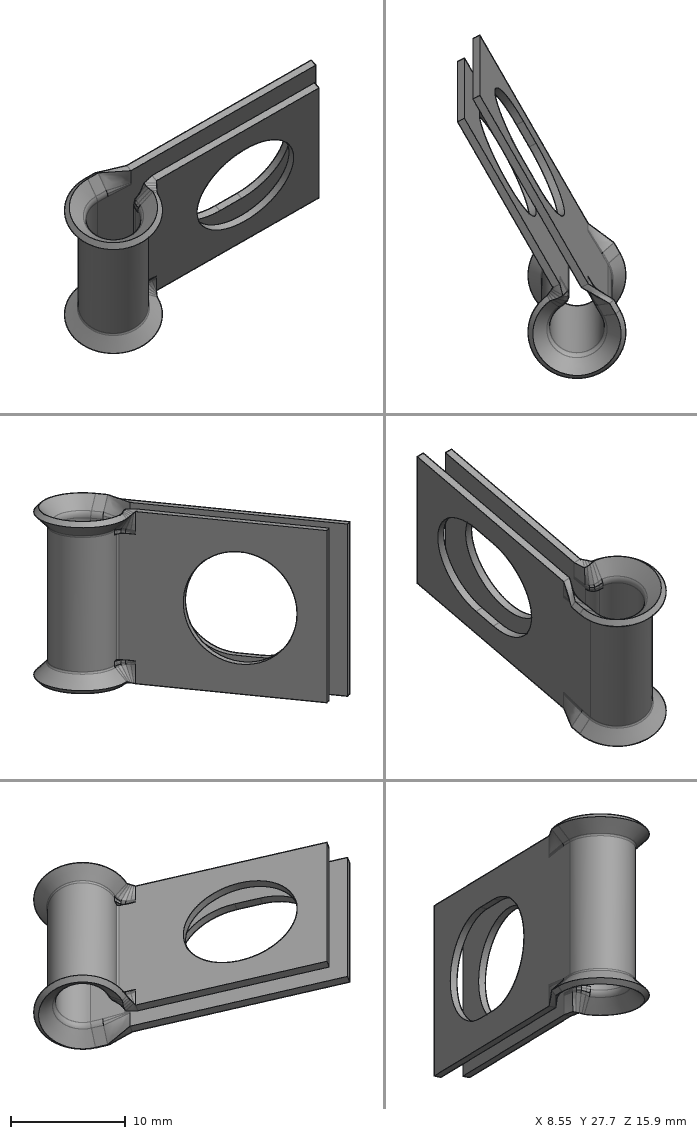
import cadquery as cq
import math

sheet = 0.7
inner_radius = 2.38
outer_radius = inner_radius + sheet
half_height = 7.95

lip_start = 5.85
lip_diameter = 8.55
lip_radius = lip_diameter / 2
lip_sheet = 0.6
lip_outer_bend = 0.28
lip_inner_bend = 0.83
lip_end_angle = 81.0

overall_length = 27.67
plate_end_step = 1.22
long_plate_end = overall_length - lip_radius
short_plate_end = long_plate_end - plate_end_step
neck_bend = 0.89
neck_y = outer_radius + neck_bend - sheet
neck_centre = (0, neck_y)
short_plate_x = -neck_bend
long_lip_straight_end = 1.1
long_lip_end = 3.6
short_lip_end = 4.75

hole_y = 14.28
hole_diameter = 10.35
slot_length = 12.67

slope = math.sqrt(0.5)
lip_tip_z = half_height - lip_sheet * slope
lip_top_radius = lip_radius - lip_sheet * slope
outer_corner_z = lip_tip_z - (lip_radius - outer_radius)
inner_corner_z = half_height - (lip_top_radius - inner_radius)


def bend_points(radius, corner_z, bend):
    """Start, middle and end (radius, z) of the bend from the barrel wall to the lip cone."""
    half_turn = math.radians(45 / 2)
    tangent = bend * math.tan(half_turn)
    start = (radius, corner_z - tangent)
    middle = (radius + bend * (1 - math.cos(half_turn)), start[1] + bend * math.sin(half_turn))
    end = (radius + tangent * slope, corner_z + tangent * slope)
    return start, middle, end


outer_bend = bend_points(outer_radius, outer_corner_z, lip_outer_bend)
inner_bend = bend_points(inner_radius, inner_corner_z, lip_inner_bend)


def wall_profile():
    """Section of the upper half of the barrel wall and lip in the XZ plane, on the +X side."""
    return (
        cq.Workplane("XZ")
        .moveTo(inner_radius, 0)
        .lineTo(outer_radius, 0)
        .lineTo(*outer_bend[0])
        .threePointArc(outer_bend[1], outer_bend[2])
        .lineTo(lip_radius, lip_tip_z)
        .lineTo(lip_top_radius, half_height)
        .lineTo(*inner_bend[2])
        .threePointArc(inner_bend[1], inner_bend[0])
        .close()
    )


def lip_section(inner, outer, flare):
    """Wire in the upright plane from inner to outer (x, y), flare 1 = full lip, 0 = flat sheet."""
    flared = [
        (inner_radius, lip_start), (outer_radius, lip_start), *outer_bend,
        (lip_radius, lip_tip_z), (lip_top_radius, half_height), *reversed(inner_bend),
    ]
    wall_levels = (0.05, 0.1, 0.15)
    lip_height = half_height - lip_start
    outer_wall = [(outer_radius, lip_start + level * lip_height) for level in wall_levels]
    inner_wall = [(inner_radius, z) for _, z in reversed(outer_wall)]
    flat = [
        (inner_radius, lip_start), (outer_radius, lip_start), *outer_wall,
        (outer_radius, half_height), (inner_radius, half_height), *inner_wall,
    ]
    reach = math.dist(inner, outer)
    direction = [(b - a) / reach for a, b in zip(inner, outer)]
    blended = [
        (flare * p[0] + (1 - flare) * q[0] - inner_radius, flare * p[1] + (1 - flare) * q[1])
        for p, q in zip(flared, flat)
    ]
    stretch = reach / max(offset for offset, _ in blended)
    corners = [
        cq.Vector(inner[0] + direction[0] * offset * stretch, inner[1] + direction[1] * offset * stretch, z)
        for offset, z in blended
    ]
    return cq.Wire.makePolygon(corners, close=True)


def transition(sections):
    """Ruled solid through the (inner, outer, flare) sections."""
    return cq.Workplane(cq.Solid.makeLoft([lip_section(*s) for s in sections], True))


def on_circle(radius, degrees, centre=(0, 0)):
    """Point (x, y) on a circle, measured from the +X direction."""
    angle = math.radians(degrees)
    return centre[0] + radius * math.cos(angle), centre[1] + radius * math.sin(angle)


def barrel():
    """Round wall and lip, from the -X side under the axis to the neck."""
    sweep = 180 + lip_end_angle
    return wall_profile().revolve(sweep, (0, 0), (0, -1)).rotate((0, 0, 0), (0, 0, 1), lip_end_angle)


def long_side():
    """Straight lip, its fade and the long plate."""
    straight = wall_profile().extrude(long_lip_straight_end).rotate((0, 0, 0), (0, 0, 1), 180)
    fade = transition([
        ((-inner_radius, long_lip_straight_end), (-lip_radius, long_lip_straight_end), 1),
        ((-inner_radius, long_lip_end), (-outer_radius, long_lip_end), 0),
    ])
    web = plate(-outer_radius, long_lip_straight_end, long_lip_end, lip_start)
    flat = plate(-outer_radius, long_lip_end, long_plate_end, half_height)
    return straight.union(web).union(fade).union(flat)


def neck_web():
    """S-bend from the barrel wall into the short plate, below the lip."""
    last_arc_middle = (lip_end_angle + 90) / 2
    return (
        cq.Workplane("XY")
        .moveTo(*on_circle(outer_radius, lip_end_angle))
        .threePointArc(on_circle(outer_radius, last_arc_middle), (0, outer_radius))
        .threePointArc(on_circle(neck_bend - sheet, 225, neck_centre), (short_plate_x + sheet, neck_y))
        .lineTo(short_plate_x + sheet, short_lip_end)
        .lineTo(short_plate_x, short_lip_end)
        .lineTo(short_plate_x, neck_y)
        .threePointArc(on_circle(neck_bend, 225, neck_centre), (0, inner_radius))
        .threePointArc(on_circle(inner_radius, last_arc_middle), on_circle(inner_radius, lip_end_angle))
        .close()
        .extrude(lip_start)
    )


def neck_fade():
    """Lip fading around the S-bend into the short plate."""
    rim_start = on_circle(lip_radius, lip_end_angle)
    rim_end = (short_plate_x + sheet, short_lip_end)
    inner_path = [
        on_circle(inner_radius, lip_end_angle),
        (0, inner_radius),
        on_circle(neck_bend, 240, neck_centre),
        on_circle(neck_bend, 210, neck_centre),
        (short_plate_x, neck_y),
        (short_plate_x, short_lip_end),
    ]
    steps = len(inner_path) - 1
    sections = []
    for step, inner in enumerate(inner_path):
        done = step / steps
        outer = tuple(a + (b - a) * done for a, b in zip(rim_start, rim_end))
        sections.append((inner, outer, 1 - done))
    return transition(sections)


def plate(x, start, end, height):
    """Upper half of a flat plate whose -X face lies at x."""
    return cq.Workplane("XY", origin=(x, start, 0)).box(sheet, end - start, height, centered=False)


def opening(x):
    """Sketch plane on the -X face of a plate, centred on its opening."""
    return cq.Workplane("YZ", origin=(x, hole_y, 0))


upper_half = (
    barrel()
    .union(long_side())
    .union(neck_web())
    .union(neck_fade())
    .union(plate(short_plate_x, short_lip_end, short_plate_end, half_height))
)
result = (
    upper_half.union(upper_half.mirror("XY"))
    .cut(opening(-outer_radius).slot2D(slot_length, hole_diameter).extrude(sheet))
    .cut(opening(short_plate_x).circle(hole_diameter / 2).extrude(sheet))
)